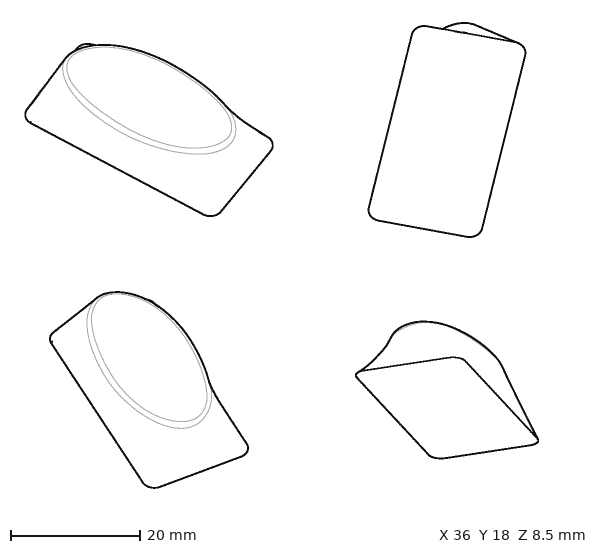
import cadquery as cq
import math

base_length = 36
base_width = base_length / 2
corner_radius = 2.0
height = 8.5
crown_length = 30.0
crown_width = crown_length / 2
rim_radius = 0.8

points_per_corner = 20
points_per_side = 30


def foot_points():
    """Points once round the foot, counterclockwise from the +Y end of the +X side."""
    centre_x = base_length / 2 - corner_radius
    centre_y = base_width / 2 - corner_radius
    corners = [
        (centre_x, centre_y, 2 * centre_x),
        (-centre_x, centre_y, 2 * centre_y),
        (-centre_x, -centre_y, 2 * centre_x),
        (centre_x, -centre_y, 2 * centre_y),
    ]
    points = []
    for index, (x, y, side_length) in enumerate(corners):
        centre = cq.Vector(x, y)
        for step in range(points_per_corner):
            angle = math.pi / 2 * (index + step / points_per_corner)
            points.append(centre + cq.Vector(math.cos(angle), math.sin(angle)) * corner_radius)
        end_angle = math.pi / 2 * (index + 1)
        outward = cq.Vector(math.cos(end_angle), math.sin(end_angle))
        along = cq.Vector(-math.sin(end_angle), math.cos(end_angle))
        side_start = centre + outward * corner_radius
        for step in range(points_per_side):
            points.append(side_start + along * (side_length * step / points_per_side))
    return points


def make_cap():
    points = foot_points()
    even_shares = [index / len(points) for index in range(len(points) + 1)]
    foot = cq.Edge.makeSpline(points, periodic=True, parameters=even_shares)
    crown = cq.Edge.makeEllipse(crown_length / 2, crown_width / 2, pnt=cq.Vector(0, 0, height))
    body = cq.Solid.makeLoft([cq.Wire.assembleEdges([foot]), cq.Wire.assembleEdges([crown])])
    return cq.Workplane(body).faces(">Z").edges().fillet(rim_radius)


cap = make_cap()
result = cq.Compound.makeCompound([cap.val()])